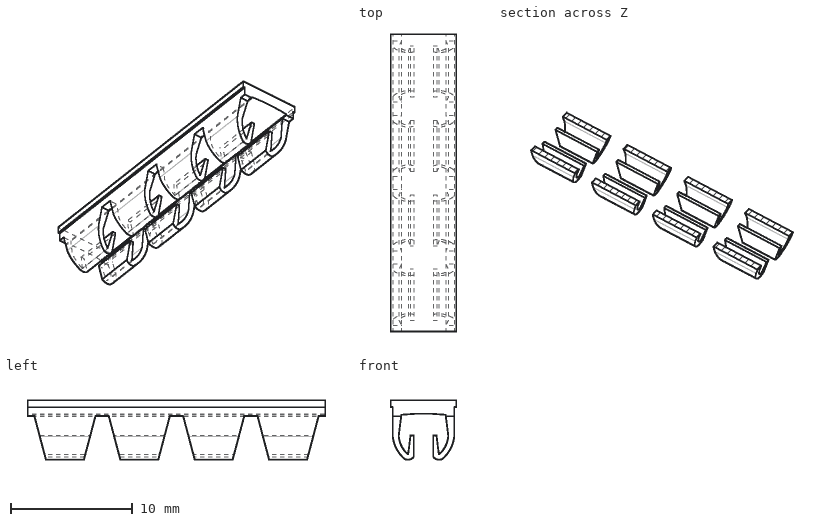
import cadquery as cq

length = 24.4
width = 5.4
height = 4.9
lip_depth = 0.59
base_depth = 1.32

body_half_width = 2.54
crown_depth = 1.12
wall_top_half_width = 1.8
wall_top_depth = 1.22
wall_waist_half_width = 2.03
bend_depth = 2.95
wall_bend_mid = (1.75, -3.85)
groove_bottom = (1.27, -4.47)
hook_top_depth = 2.9
hook_tip_half_width = 1.07
hook_inner_half_width = 0.78
hook_corner_depth = 4.64
heel_lowest_half_width = 1.27
outer_bend_mid = (2.22, -4.0)
outer_bend_end = (1.55, -4.83)

tooth_count = 4
tooth_pitch = length / tooth_count
tooth_root_length = 5.03
tooth_tip_length = 3.12


def make_base():
    """Flat strip with a wider lip and a slightly arched underside."""
    lip = cq.Workplane("XY").box(width, length, lip_depth, centered=(True, True, False))
    lip = lip.translate((0, 0, -lip_depth))
    body = (
        cq.Workplane("XZ")
        .moveTo(-body_half_width, 0)
        .lineTo(body_half_width, 0)
        .lineTo(body_half_width, -base_depth)
        .lineTo(wall_top_half_width, -base_depth)
        .lineTo(wall_top_half_width, -wall_top_depth)
        .threePointArc((0, -crown_depth), (-wall_top_half_width, -wall_top_depth))
        .lineTo(-wall_top_half_width, -base_depth)
        .lineTo(-body_half_width, -base_depth)
        .close()
        .extrude(length / 2, both=True)
    )
    return lip.union(body)


def make_clip_arm():
    """Full-length arm on the +X side, curling inward and up into a hook."""
    return (
        cq.Workplane("XZ")
        .moveTo(body_half_width, -wall_top_depth)
        .lineTo(body_half_width, -bend_depth)
        .threePointArc(outer_bend_mid, outer_bend_end)
        .threePointArc((heel_lowest_half_width, -height), (hook_inner_half_width, -hook_corner_depth))
        .lineTo(hook_inner_half_width, -hook_top_depth)
        .lineTo(hook_tip_half_width, -hook_top_depth)
        .lineTo(*groove_bottom)
        .threePointArc(wall_bend_mid, (wall_waist_half_width, -bend_depth))
        .lineTo(wall_top_half_width, -wall_top_depth)
        .close()
        .extrude(length / 2, both=True)
    )


def make_tooth_envelope(center_y):
    """Trapezoid spanning the width, narrowing toward the clip's lowest edge."""
    root_half = tooth_root_length / 2
    tip_half = tooth_tip_length / 2
    clearance = 0.25
    flank_slope = (root_half - tip_half) / (height - base_depth)
    end_half = tip_half - clearance * flank_slope
    return (
        cq.Workplane("YZ")
        .polyline([
            (center_y - root_half, -base_depth),
            (center_y + root_half, -base_depth),
            (center_y + end_half, -height - clearance),
            (center_y - end_half, -height - clearance),
        ])
        .close()
        .extrude(width / 2, both=True)
    )


right_arm = make_clip_arm()
arms = right_arm.union(right_arm.mirror("YZ"))

result = make_base()
for index in range(tooth_count):
    tooth_y = (index + 0.5) * tooth_pitch - length / 2
    result = result.union(arms.intersect(make_tooth_envelope(tooth_y)))